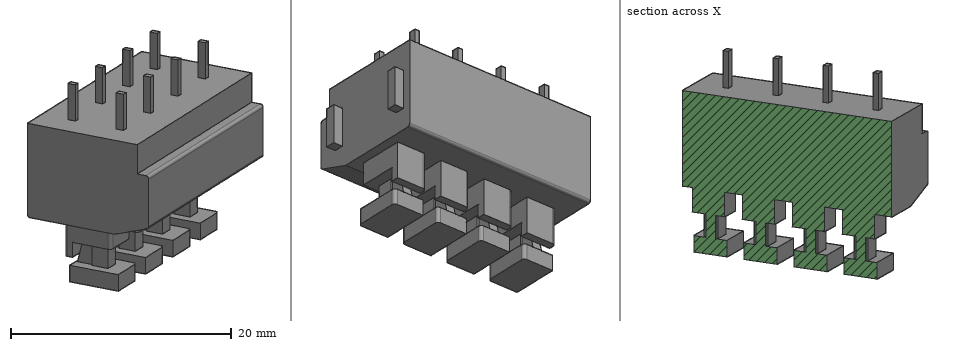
import cadquery as cq

body_width = 12.6
overall_length = 22.32
body_length = 21.32
body_height = 9.1
step_width = 1.18
step_depth = 2.83
slope_width = 3.53
slope_height = 1.2
edge_radius = 0.3

tab_width = 1.0
tab_length = overall_length - body_length
tab_height = 4.02
tab_top_z = -step_depth
tab_centers_x = (1.38, 10.09)

station_count = 4
station_pitch = 5.1

pin_width = 0.75
pin_thickness = 0.54
pin_height = 3.5
pin_row_centers_x = (3.15, 8.15)
first_pin_y = 2.88

guide_x = 2.9
guide_width = 4.85
guide_y = 1.72
guide_length = 3.35
guide_height = 2.32
leg_width = 0.83
leg_height = 1.45
guide_radius = 0.33

button_x = 3.57
button_width = 5.05
button_y = 1.5
button_length = 3.4
button_height = 1.6
button_radius = 0.33
stem_height = 2.17
stem_center_y = 3.15
stem_x = 5.33
stem_width = 1.67
stem_thickness = 1.4
wedge_top_x = 4.29
wedge_bottom_x = 3.73
wedge_thickness = 1.0

guide_bottom_z = -body_height - guide_height
button_top_z = guide_bottom_z - stem_height


def box_at(x, y, z_top, width, length, height):
    """Box from its low X, low Y corner, hanging down from z_top."""
    box = cq.Workplane("XY").box(width, length, height, centered=False)
    return box.translate((x, y, z_top - height))


def make_housing():
    step_x = body_width - step_width
    outline = [
        (0, 0),
        (step_x, 0),
        (step_x, -step_depth),
        (body_width, -step_depth),
        (body_width, slope_height - body_height),
        (body_width - slope_width, -body_height),
        (0, -body_height),
    ]
    housing = cq.Workplane("XZ").polyline(outline).close().extrude(-body_length)
    rounded_corners = (outline[3], outline[4], outline[6])
    for x, z in rounded_corners:
        edge = housing.edges(cq.selectors.NearestToPointSelector((x, body_length / 2, z)))
        housing = edge.fillet(edge_radius)
    return housing


def make_tab(center_x):
    x = center_x - tab_width / 2
    return box_at(x, body_length, tab_top_z, tab_width, tab_length, tab_height)


def make_pin(center_x):
    x = center_x - pin_width / 2
    y = first_pin_y - pin_thickness / 2
    return box_at(x, y, pin_height, pin_width, pin_thickness, pin_height)


def make_guide():
    """L-shaped guide with its two upright -Y corners rounded."""
    block = box_at(guide_x, guide_y, -body_height, guide_width, guide_length, guide_height + leg_height)
    block = block.edges("|Z and <Y").fillet(guide_radius)
    clearance = box_at(
        guide_x + leg_width, guide_y, guide_bottom_z, guide_width - leg_width, guide_length, leg_height
    )
    return block.cut(clearance)


def make_stem():
    """Rectangular stem with a thinner wedge on its -X side."""
    stem_y = stem_center_y - stem_thickness / 2
    stem = box_at(stem_x, stem_y, guide_bottom_z, stem_width, stem_thickness, stem_height)
    wedge_outline = [
        (stem_x, guide_bottom_z),
        (wedge_top_x, guide_bottom_z),
        (wedge_bottom_x, button_top_z),
        (stem_x, button_top_z),
    ]
    wedge = cq.Workplane("XZ", origin=(0, stem_center_y, 0)).polyline(wedge_outline).close()
    return stem.union(wedge.extrude(wedge_thickness / 2, both=True))


def make_button():
    """Button plate with its two upright +Y corners rounded."""
    plate = box_at(button_x, button_y, button_top_z, button_width, button_length, button_height)
    return plate.edges("|Z and >Y").fillet(button_radius)


def make_station():
    station = make_guide().union(make_stem()).union(make_button())
    for center_x in pin_row_centers_x:
        station = station.union(make_pin(center_x))
    return station


result = make_housing()
for center_x in tab_centers_x:
    result = result.union(make_tab(center_x))
first_station = make_station()
for index in range(station_count):
    result = result.union(first_station.translate((0, index * station_pitch, 0)))